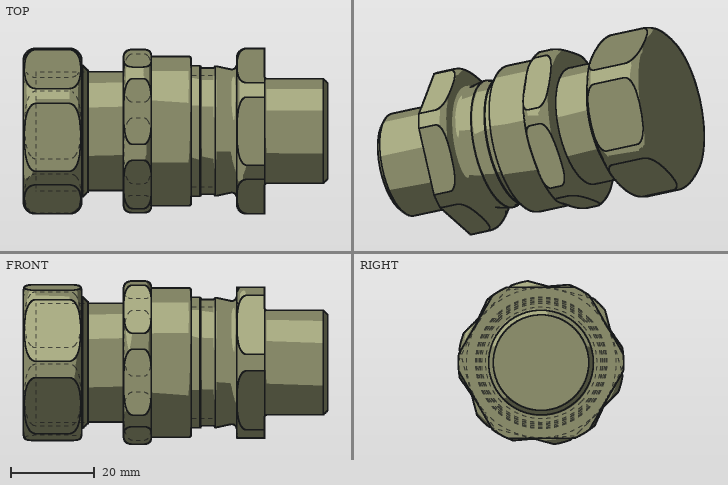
import cadquery as cq
import math


CORNER_DIA = 39.5
ACROSS_FLATS = 36.0

CAP_HEX_LENGTH = 14.0
CAP_EDGE_R = 3.0
CAP_TURN = 4.8
FLARE_END_DIA = 29.1
FLARE_LENGTH = 1.15
FLARE_LAND = 0.2
CAP_WALL = 3.0
FLARE_START = CAP_HEX_LENGTH + FLARE_LAND
FLARE_END = FLARE_START + FLARE_LENGTH
CAP_LENGTH = FLARE_END + FLARE_LAND

NECK_DIA = 28.4
SLEEVE_DIA = 35.7
SLEEVE_EDGE_R = 0.6
COLLAR_START = 23.9
COLLAR_LENGTH = 6.7
COLLAR_END = COLLAR_START + COLLAR_LENGTH
COLLAR_EDGE_R = 2.2
COLLAR_REAR_EDGE_R = (CORNER_DIA - SLEEVE_DIA) / 2
COLLAR_TURN = 45.0
BODY_END = 40.05

RING_DIA = 31.2
RING_EDGE = 0.15
RING_END = 42.2

SEAL_DIA = 31.0
SEAL_GROOVE_DIA = 30.2
SEAL_FILLET_R = (SEAL_DIA - SEAL_GROOVE_DIA) / 2
SEAL_LIP = 0.1
SEAL_END = 45.85

SPIGOT_DIA = 26.6
TAPER_START_DIA = 31.0
TAPER_END_DIA = 29.5
TAPER_LAND = 0.2
TAPER_START = SEAL_END + TAPER_LAND
TAPER_END = 49.5
ENTRY_HEX_START = 50.9
ENTRY_HEX_END = 57.6
ENTRY_EDGE_R = 2.4
THREAD_DIA = 25.0
THREAD_ROOT_FILLET_R = 0.45
THREAD_CHAMFER = 1.1
TOTAL_LENGTH = 72.65


def arc_middle(center_x, center_r, radius, degrees):
    """Point on a profile arc at the given angle from +X toward the outside."""
    angle = math.radians(degrees)
    return center_x + radius * math.cos(angle), center_r + radius * math.sin(angle)


def turned(profile):
    """Spin a profile drawn with x along the axis and y as radius."""
    return profile.close().revolve(360, (0, 0, 0), (1, 0, 0))


def cylinder(start, end, diameter):
    """Round bar along X between two positions."""
    return cq.Workplane("YZ", origin=(start, 0, 0)).circle(diameter / 2).extrude(end - start)


def hex_bar(start, end):
    """Hexagonal bar with one corner on +Y."""
    point_to_point = ACROSS_FLATS / math.cos(math.radians(30))
    return cq.Workplane("YZ", origin=(start, 0, 0)).polygon(6, point_to_point).extrude(end - start)


def hex_nut(start, end, front_edge_r, rear_edge_r=0):
    """Hexagon whose corners are turned to a cylinder with rounded ends."""
    blank = cylinder(start, end, CORNER_DIA).faces("<X").edges().fillet(front_edge_r)
    if rear_edge_r:
        blank = blank.faces(">X").edges().fillet(rear_edge_r)
    return blank.intersect(hex_bar(start, end))


def turn_about_axis(part, degrees):
    """Turn a body about the gland axis."""
    return part.rotate((0, 0, 0), (1, 0, 0), degrees)


def make_cap():
    end_r = FLARE_END_DIA / 2
    flare = turned(
        cq.Workplane("XY")
        .moveTo(CAP_WALL, 0)
        .lineTo(CAP_WALL, end_r + FLARE_LENGTH)
        .lineTo(FLARE_START, end_r + FLARE_LENGTH)
        .lineTo(FLARE_END, end_r)
        .lineTo(CAP_LENGTH, end_r)
        .lineTo(CAP_LENGTH, 0)
    )
    nut = hex_nut(0, CAP_HEX_LENGTH, CAP_EDGE_R, CAP_EDGE_R)
    return nut.union(flare).cut(cylinder(CAP_WALL, CAP_LENGTH, NECK_DIA))


def make_body():
    neck = cylinder(CAP_WALL, COLLAR_END, NECK_DIA)
    collar = hex_nut(COLLAR_START, COLLAR_END, COLLAR_EDGE_R, COLLAR_REAR_EDGE_R)
    sleeve = cylinder(COLLAR_START + COLLAR_EDGE_R, BODY_END, SLEEVE_DIA)
    sleeve = sleeve.faces(">X").edges().fillet(SLEEVE_EDGE_R)
    return neck.union(collar).union(sleeve)


def make_ring():
    ring = cylinder(BODY_END, RING_END, RING_DIA).faces(">X").edges().chamfer(RING_EDGE)
    return ring.cut(cylinder(BODY_END, RING_END, SPIGOT_DIA))


def make_seal():
    outer_r = SEAL_DIA / 2
    groove_r = SEAL_GROOVE_DIA / 2
    groove_start = RING_END + SEAL_LIP
    groove_end = SEAL_END - SEAL_LIP
    flat_start = groove_start + SEAL_FILLET_R
    flat_end = groove_end - SEAL_FILLET_R
    return turned(
        cq.Workplane("XY")
        .moveTo(RING_END, SPIGOT_DIA / 2)
        .lineTo(RING_END, outer_r)
        .lineTo(groove_start, outer_r)
        .threePointArc(arc_middle(flat_start, outer_r, SEAL_FILLET_R, 225), (flat_start, groove_r))
        .lineTo(flat_end, groove_r)
        .threePointArc(arc_middle(flat_end, outer_r, SEAL_FILLET_R, 315), (groove_end, outer_r))
        .lineTo(SEAL_END, outer_r)
        .lineTo(SEAL_END, SPIGOT_DIA / 2)
    )


def make_entry():
    taper_start_r = TAPER_START_DIA / 2
    taper_end_r = TAPER_END_DIA / 2
    taper_angle = math.atan2(taper_start_r - taper_end_r, TAPER_END - TAPER_START)
    sweep_r = (ENTRY_HEX_START - TAPER_END) / (1 + math.sin(taper_angle))
    sweep_top_r = taper_end_r + sweep_r * math.cos(taper_angle)
    shoulder = turned(
        cq.Workplane("XY")
        .moveTo(BODY_END, 0)
        .lineTo(BODY_END, SPIGOT_DIA / 2)
        .lineTo(SEAL_END, SPIGOT_DIA / 2)
        .lineTo(SEAL_END, taper_start_r)
        .lineTo(TAPER_START, taper_start_r)
        .lineTo(TAPER_END, taper_end_r)
        .threePointArc(
            arc_middle(ENTRY_HEX_START - sweep_r, sweep_top_r, sweep_r, 315),
            (ENTRY_HEX_START, sweep_top_r),
        )
        .lineTo(ENTRY_HEX_END, sweep_top_r)
        .lineTo(ENTRY_HEX_END, 0)
    )
    nut = hex_nut(ENTRY_HEX_START, ENTRY_HEX_END, ENTRY_EDGE_R)
    thread_r = THREAD_DIA / 2
    root_end = ENTRY_HEX_END + THREAD_ROOT_FILLET_R
    root_r = thread_r + THREAD_ROOT_FILLET_R
    thread = turned(
        cq.Workplane("XY")
        .moveTo(ENTRY_HEX_START, 0)
        .lineTo(ENTRY_HEX_START, root_r)
        .lineTo(ENTRY_HEX_END, root_r)
        .threePointArc(arc_middle(root_end, root_r, THREAD_ROOT_FILLET_R, 225), (root_end, thread_r))
        .lineTo(TOTAL_LENGTH - THREAD_CHAMFER, thread_r)
        .lineTo(TOTAL_LENGTH, thread_r - THREAD_CHAMFER)
        .lineTo(TOTAL_LENGTH, 0)
    )
    return shoulder.union(nut).union(thread)


cap = turn_about_axis(make_cap(), CAP_TURN)
body = turn_about_axis(make_body(), COLLAR_TURN)
ring = make_ring()
seal = make_seal()
entry = make_entry()

result = cq.Compound.makeCompound([cap.val(), body.val(), ring.val(), seal.val(), entry.val()])